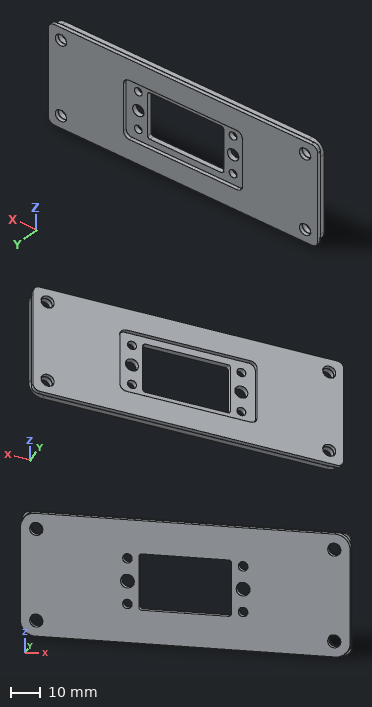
import cadquery as cq

length = 114.0
height = 43.0
thickness = 3.5
front_thickness = 2.0
back_thickness = thickness - front_thickness
front_corner_radius = 5.0
back_corner_radius = 2.5
edge_step = 0.1
back_length = length - 2 * edge_step
back_height = height - 2 * edge_step

window_length = 32.0
window_height = 19.6
window_corner_radius = 1.0

mount_spacing_x = 103.0
mount_spacing_z = 32.0
mount_diameter = 4.5
back_mount_diameter = 4.7

clearance_length = 50.2
clearance_height = 25.1
clearance_corner_radius = 2.5

side_spacing_x = 40.0
side_spacing_z = 16.0
side_small_diameter = 3.2
side_large_diameter = 4.7


def rounded_block(size_x, size_z, depth, radius, front_y):
    """Block with rounded corners, reaching from front_y towards +Y."""
    block = cq.Workplane("XZ", origin=(0, front_y, 0)).rect(size_x, size_z).extrude(-depth)
    return block.edges("|Y").fillet(radius)


def round_holes(points, diameter, depth, front_y):
    """Round cutters at (x, z) points, reaching from front_y towards +Y."""
    plane = cq.Workplane("XZ", origin=(0, front_y, 0))
    return plane.pushPoints(points).circle(diameter / 2).extrude(-depth)


def corner_points(spacing_x, spacing_z):
    """Four corners of a centred rectangle."""
    return [(i * spacing_x / 2, j * spacing_z / 2) for i in (-1, 1) for j in (-1, 1)]


mount_points = corner_points(mount_spacing_x, mount_spacing_z)
small_points = corner_points(side_spacing_x, side_spacing_z)
large_points = [(side * side_spacing_x / 2, 0) for side in (-1, 1)]

front_layer = rounded_block(length, height, front_thickness, front_corner_radius, 0)
front_layer = front_layer.cut(
    rounded_block(window_length, window_height, front_thickness, window_corner_radius, 0)
)
for points, diameter in (
    (mount_points, mount_diameter),
    (small_points, side_small_diameter),
    (large_points, side_large_diameter),
):
    front_layer = front_layer.cut(round_holes(points, diameter, front_thickness, 0))

back_layer = rounded_block(back_length, back_height, back_thickness, back_corner_radius, front_thickness)
back_layer = back_layer.cut(
    rounded_block(
        clearance_length, clearance_height, back_thickness, clearance_corner_radius, front_thickness
    )
)
back_layer = back_layer.cut(
    round_holes(mount_points, back_mount_diameter, back_thickness, front_thickness)
)

result = front_layer.union(back_layer).translate((0, -thickness / 2, 0))